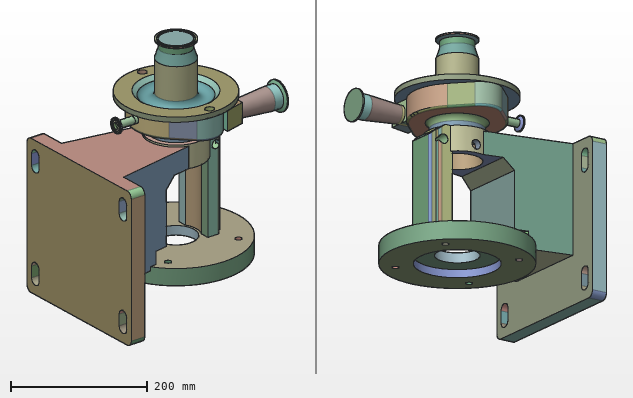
import cadquery as cq
import math

plate_width = 250.0
plate_height = 250.0
plate_thickness = 25.0
plate_corner_radius = 10.0
plate_front_y = -179.7
plate_back_y = plate_front_y + plate_thickness
slot_length = 36.5
slot_width = 17.7
slot_spacing_x = 209.5
slot_spacing_z = 182.0

flange_radius = 115.3
flange_bottom_z = 55.5
flange_top_z = 84.0
flange_bore_radius = 33.5
spigot_radius = 64.5
spigot_depth = 12.5
flange_bolt_offset = 65.3
flange_bolt_radius = 5.2

ring_radius = 50.0
ring_bore_radius = 37.5
ring_bottom_z = 213.5
ring_top_z = 253.0
ring_hole_radius = 7.3
ring_hole_z = 226.5
arm_front_half_width = 48.5
arm_front_y = -13.7
arm_back_half_width = 74.0
web_bottom_z = 77.5
web_front_y = -62.5
web_chamfer = 17.7
clearance_height = 21.0
clearance_side_y = -84.2
clearance_angle = 32.0

strut_front_y = 32.2
strut_step_y = 54.5
strut_back_y = 65.0
strut_half_width = 34.5
strut_corner_radius = 3.5
rib_half_width = 24.0
rib_corner_radius = 4.0
strut_top_chamfer_y = 45.0
strut_top_chamfer_z = 238.5
strut_hole_radius = 7.3
strut_hole_y = 47.5
strut_hole_z = 230.5

casing_radius = 74.5
casing_bottom_z = 273.0
casing_edge_radius = 3.2
lug_radius = 34.0
lug_offset = 58.0
neck_radius = 41.5
neck_flare_radius = 47.0
neck_flare_z = 263.0
neck_flare_mid_radius = 43.0
neck_flare_mid_z = 269.2
cover_radius = 92.3
cover_bottom_z = 310.0
cover_top_z = 318.5
cover_hole_offset = 80.5
cover_hole_radius = 7.3
cover_drill_radius = 5.0
cover_drill_depth = 24.0
dish_rim_radius = 64.5
dish_radius = 57.2
dish_edge_z = 311.5
dish_low_radius = 48.5
dish_low_z = 304.0
dish_inner_z = 315.5

inlet_radius = 32.0
inlet_neck_radius = 26.0
inlet_cone_bottom_z = 371.5
inlet_cone_top_z = 388.5
inlet_end_z = 403.0
inlet_groove_radius = 27.5
outlet_x = 58.5
outlet_z = 290.0
outlet_end_y = 144.3
outlet_radius = 19.5
outlet_small_radius = 14.5
outlet_straight = 20.0
outlet_taper_end_y = 67.0
outlet_root_y = 32.2
outlet_ferrule_radius = 25.0
drain_z = 293.0
drain_end_y = -111.5
drain_root_y = -64.5
drain_radius = 6.5
drain_bore_radius = 5.2
drain_ferrule_radius = 12.5
drain_groove_radius = 9.5
drain_bore_depth = 32.2
ferrule_rim = 2.5
ferrule_cone = 2.5
groove_width = 2.5
groove_depth = 1.2

boss_inner_x = 36.3
boss_corner_x = 78.0
boss_corner_y = 62.5
boss_foot_x = 87.0
boss_foot_y = 28.2
boss_bottom_z = 276.0


def cylinder(radius, z_low, z_high):
    """Cylinder along Z."""
    return cq.Workplane("XY").workplane(offset=z_low).circle(radius).extrude(z_high - z_low)


def cross_cylinder(radius, x_low, x_high, y, z):
    """Cylinder along X."""
    return cq.Workplane("YZ", origin=(x_low, y, z)).circle(radius).extrude(x_high - x_low)


def pipe_along_y(profile, x, z):
    """Turned pipe about a line parallel to Y; the profile holds (radius, y) points."""
    body = cq.Workplane("XY").polyline(profile).close().revolve(360, (0, 0, 0), (0, 1, 0))
    return body.translate((x, 0, z))


def make_plate():
    """Square mounting plate with rounded corners and four upright slots."""
    center = (0, plate_back_y, plate_height / 2)
    plate = cq.Workplane("XZ", origin=center).rect(plate_width, plate_height).extrude(plate_thickness)
    plate = plate.edges("|Y").fillet(plate_corner_radius)
    slots = (
        cq.Workplane("XZ", origin=center)
        .rect(slot_spacing_x, slot_spacing_z, forConstruction=True)
        .vertices()
        .slot2D(slot_length, slot_width, 90)
        .extrude(plate_thickness)
    )
    return plate.cut(slots)


def make_flange():
    """Motor flange with four bolt holes, a bore and a spigot recess underneath."""
    flange = cylinder(flange_radius, flange_bottom_z, flange_top_z)
    bolts = (
        cq.Workplane("XY", origin=(0, 0, flange_bottom_z))
        .rect(2 * flange_bolt_offset, 2 * flange_bolt_offset, forConstruction=True)
        .vertices()
        .circle(flange_bolt_radius)
        .extrude(flange_top_z - flange_bottom_z)
    )
    bore = cylinder(flange_bore_radius, flange_bottom_z, flange_top_z)
    spigot_recess = cylinder(spigot_radius, flange_bottom_z, flange_bottom_z + spigot_depth)
    return flange.cut(bolts).cut(bore).cut(spigot_recess)


def make_web():
    """Tapered arm and web: a trapezoid in plan trimmed by the side profile."""
    plan = (
        cq.Workplane("XY")
        .moveTo(-arm_front_half_width, arm_front_y)
        .lineTo(arm_front_half_width, arm_front_y)
        .lineTo(arm_back_half_width, plate_back_y)
        .lineTo(-arm_back_half_width, plate_back_y)
        .close()
        .extrude(plate_height)
    )
    side = (
        cq.Workplane("YZ")
        .moveTo(arm_front_y, plate_height)
        .lineTo(arm_front_y, ring_bottom_z)
        .lineTo(web_front_y + web_chamfer, ring_bottom_z)
        .lineTo(web_front_y, ring_bottom_z - web_chamfer)
        .lineTo(web_front_y, web_bottom_z)
        .lineTo(plate_back_y, web_bottom_z)
        .lineTo(plate_back_y, plate_height)
        .close()
        .extrude(arm_back_half_width, both=True)
    )
    return plan.intersect(side)


def make_bolt_clearance(side):
    """Prism freeing one front flange bolt; its slanted face leans back from X."""
    run = (web_front_y - clearance_side_y) / math.tan(math.radians(clearance_angle))
    taper = (arm_back_half_width - arm_front_half_width) / (arm_front_y - plate_back_y)
    outer_x = arm_front_half_width + taper * (arm_front_y - clearance_side_y)
    return (
        cq.Workplane("XY", origin=(0, 0, flange_top_z))
        .moveTo(side * outer_x, clearance_side_y)
        .lineTo(side * (outer_x - run), web_front_y)
        .lineTo(side * outer_x, web_front_y)
        .close()
        .extrude(clearance_height)
    )


def make_strut_wall(half_width, front_y, back_y, corner_radius):
    """Upright wall with its two rear corners rounded."""
    wall = (
        cq.Workplane("XY", origin=(0, (front_y + back_y) / 2, flange_top_z))
        .rect(2 * half_width, back_y - front_y)
        .extrude(ring_top_z - flange_top_z)
    )
    return wall.faces(">Y").edges("|Z").fillet(corner_radius)


def make_strut():
    """Back wall with a narrower rear rib and a sloped top corner."""
    strut = make_strut_wall(strut_half_width, strut_front_y, strut_step_y, strut_corner_radius)
    rib = make_strut_wall(rib_half_width, strut_front_y, strut_back_y, rib_corner_radius)
    strut = strut.union(rib)
    corner = (
        cq.Workplane("YZ")
        .moveTo(strut_top_chamfer_y, ring_top_z)
        .lineTo(strut_back_y, ring_top_z)
        .lineTo(strut_back_y, strut_top_chamfer_z)
        .close()
        .extrude(strut_half_width, both=True)
    )
    return strut.cut(corner)


def make_bracket():
    """Bored ring carried by the web and the back strut, with flange and plate."""
    frame = make_web().union(make_strut()).union(cylinder(ring_radius, ring_bottom_z, ring_top_z))
    frame = frame.cut(cylinder(ring_bore_radius, flange_top_z, ring_top_z))
    frame = frame.cut(cross_cylinder(ring_hole_radius, -ring_radius, 0, 0, ring_hole_z))
    strut_hole = cross_cylinder(
        strut_hole_radius, -strut_half_width, strut_half_width, strut_hole_y, strut_hole_z
    )
    frame = frame.cut(strut_hole)
    for side in (-1, 1):
        frame = frame.cut(make_bolt_clearance(side))
    return frame.union(make_flange()).union(make_plate())


def make_casing():
    """Round casing with a lug on each side, joined by tangent flanks."""
    lean = math.acos((casing_radius - lug_radius) / lug_offset)
    flank = [
        (casing_radius * math.cos(lean), casing_radius * math.sin(lean)),
        (lug_offset + lug_radius * math.cos(lean), lug_radius * math.sin(lean)),
    ]
    (near_x, near_y), (far_x, far_y) = flank
    tip_x = lug_offset + lug_radius
    casing = (
        cq.Workplane("XY", origin=(0, 0, casing_bottom_z))
        .moveTo(near_x, near_y)
        .lineTo(far_x, far_y)
        .threePointArc((tip_x, 0), (far_x, -far_y))
        .lineTo(near_x, -near_y)
        .threePointArc((0, -casing_radius), (-near_x, -near_y))
        .lineTo(-far_x, -far_y)
        .threePointArc((-tip_x, 0), (-far_x, far_y))
        .lineTo(-near_x, near_y)
        .threePointArc((0, casing_radius), (near_x, near_y))
        .close()
        .extrude(cover_bottom_z - casing_bottom_z)
    )
    return casing.faces("<Z").edges().fillet(casing_edge_radius)


def make_turned_body():
    """Neck, cover and inlet pipe as one turned shape about Z."""
    groove_inner = inlet_groove_radius - groove_width / 2
    groove_outer = inlet_groove_radius + groove_width / 2
    return (
        cq.Workplane("XZ")
        .moveTo(0, plate_height)
        .lineTo(neck_radius, plate_height)
        .lineTo(neck_radius, neck_flare_z)
        .threePointArc((neck_flare_mid_radius, neck_flare_mid_z), (neck_flare_radius, casing_bottom_z))
        .lineTo(neck_flare_radius, cover_bottom_z)
        .lineTo(cover_radius, cover_bottom_z)
        .lineTo(cover_radius, cover_top_z)
        .lineTo(inlet_radius, cover_top_z)
        .lineTo(inlet_radius, inlet_cone_bottom_z)
        .lineTo(inlet_neck_radius, inlet_cone_top_z)
        .lineTo(inlet_neck_radius, inlet_end_z - ferrule_rim - ferrule_cone)
        .lineTo(inlet_radius, inlet_end_z - ferrule_rim)
        .lineTo(inlet_radius, inlet_end_z)
        .lineTo(groove_outer, inlet_end_z)
        .lineTo(groove_outer, inlet_end_z - groove_depth)
        .lineTo(groove_inner, inlet_end_z - groove_depth)
        .lineTo(groove_inner, inlet_end_z)
        .lineTo(0, inlet_end_z)
        .close()
        .revolve(360, (0, 0, 0), (0, 1, 0))
    )


def make_dish():
    """Ring-shaped hollow in the cover: a conical rim, then an arc rising to the inlet pipe."""
    return (
        cq.Workplane("XZ")
        .moveTo(inlet_radius, cover_top_z)
        .lineTo(dish_rim_radius, cover_top_z)
        .lineTo(dish_radius, dish_edge_z)
        .threePointArc((dish_low_radius, dish_low_z), (inlet_radius, dish_inner_z))
        .close()
        .revolve(360, (0, 0, 0), (0, 1, 0))
    )


def make_outlet_boss():
    """Block on the casing where the outlet pipe leaves it."""
    return (
        cq.Workplane("XY", origin=(0, 0, boss_bottom_z))
        .moveTo(boss_inner_x, boss_corner_y)
        .lineTo(boss_corner_x, boss_corner_y)
        .lineTo(boss_foot_x, boss_foot_y)
        .lineTo(boss_inner_x, boss_foot_y)
        .close()
        .extrude(cover_bottom_z - boss_bottom_z)
    )


def make_outlet():
    """Tapered outlet pipe running off to one side of the casing, ending in a ferrule."""
    profile = [
        (0, outlet_root_y),
        (outlet_small_radius, outlet_root_y),
        (outlet_small_radius, outlet_taper_end_y),
        (outlet_radius, outlet_end_y - outlet_straight),
        (outlet_radius, outlet_end_y - ferrule_rim - ferrule_cone),
        (outlet_ferrule_radius, outlet_end_y - ferrule_rim),
        (outlet_ferrule_radius, outlet_end_y),
        (0, outlet_end_y),
    ]
    return pipe_along_y(profile, outlet_x, outlet_z)


def make_drain():
    """Small drain pipe with a grooved ferrule."""
    groove_inner = drain_groove_radius - groove_width / 2
    groove_outer = drain_groove_radius + groove_width / 2
    profile = [
        (0, drain_root_y),
        (drain_radius, drain_root_y),
        (drain_radius, drain_end_y + ferrule_rim + ferrule_cone),
        (drain_ferrule_radius, drain_end_y + ferrule_rim),
        (drain_ferrule_radius, drain_end_y),
        (groove_outer, drain_end_y),
        (groove_outer, drain_end_y + groove_depth),
        (groove_inner, drain_end_y + groove_depth),
        (groove_inner, drain_end_y),
        (0, drain_end_y),
    ]
    return pipe_along_y(profile, 0, drain_z)


def make_drain_bore():
    """Blind bore running inward from the drain ferrule."""
    bottom = cq.Workplane("XZ", origin=(0, drain_end_y + drain_bore_depth, drain_z))
    return bottom.circle(drain_bore_radius).extrude(drain_bore_depth)


def make_cover_hole():
    """Stepped blind hole, wide through the cover, with a drill point at its bottom."""
    drill_bottom_z = cover_top_z - cover_drill_depth
    return (
        cq.Workplane("XZ")
        .moveTo(0, cover_top_z)
        .lineTo(cover_hole_radius, cover_top_z)
        .lineTo(cover_hole_radius, cover_bottom_z)
        .lineTo(cover_drill_radius, cover_bottom_z)
        .lineTo(cover_drill_radius, drill_bottom_z)
        .lineTo(0, drill_bottom_z - cover_drill_radius)
        .close()
        .revolve(360, (0, 0, 0), (0, 1, 0))
    )


pump = make_casing().union(make_turned_body()).union(make_outlet_boss())
pump = pump.union(make_outlet()).union(make_drain()).cut(make_dish())
for side in (-1, 1):
    pump = pump.cut(make_cover_hole().translate((side * cover_hole_offset, 0, 0)))
pump = pump.cut(make_drain_bore())

result = make_bracket().union(pump)